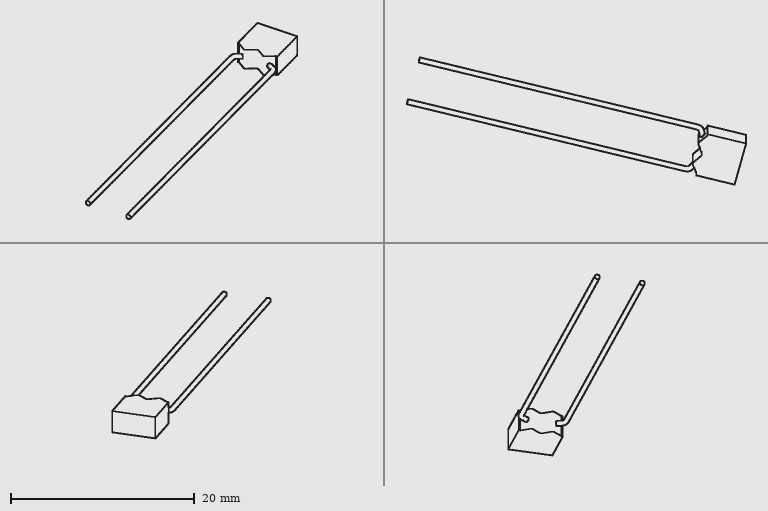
import cadquery as cq
import math

case_width = 5.0
case_thickness = 2.55
shoulder_depth = 4.35
lobe_depth = 5.05
round_height = 0.045
shoulder_inner_x = 2.32
lobe_outer_x = 1.35
lobe_inner_x = 1.05
dip_half_width = 0.15

overall_width = 5.67
overall_length = 36.83
wire_diameter = 0.6
wire_radius = wire_diameter / 2
lead_x = (overall_width - wire_diameter) / 2
bend_start_y = -5.82
bend_rise = 0.77
bend_inset = 0.22
bend_angle = 60.0
oblique_length = 0.75


def make_case():
    """Block centred on Z = 0, with its back side on Y = 0."""
    half_width = case_width / 2
    lobe_middle_x = (lobe_outer_x + lobe_inner_x) / 2
    lobe_arc_y = round_height - lobe_depth
    dip_arc_y = -shoulder_depth - round_height
    return (
        cq.Workplane("XY")
        .moveTo(-half_width, 0)
        .lineTo(-half_width, -shoulder_depth)
        .lineTo(-shoulder_inner_x, -shoulder_depth)
        .lineTo(-lobe_outer_x, lobe_arc_y)
        .threePointArc((-lobe_middle_x, -lobe_depth), (-lobe_inner_x, lobe_arc_y))
        .lineTo(-dip_half_width, dip_arc_y)
        .threePointArc((0, -shoulder_depth), (dip_half_width, dip_arc_y))
        .lineTo(lobe_inner_x, lobe_arc_y)
        .threePointArc((lobe_middle_x, -lobe_depth), (lobe_outer_x, lobe_arc_y))
        .lineTo(shoulder_inner_x, -shoulder_depth)
        .lineTo(half_width, -shoulder_depth)
        .lineTo(half_width, 0)
        .close()
        .extrude(case_thickness / 2, both=True)
    )


def make_lead(side):
    """Wire on one side of the case: side is -1 for -X and +1 for +X."""
    angle = math.radians(bend_angle)
    inward = -side * math.sin(angle)
    forward = math.cos(angle)
    bend_start = (side * lead_x, bend_start_y)
    bend_end = (side * (lead_x - bend_inset), bend_start_y + bend_rise)
    inner_end = (
        bend_end[0] + oblique_length * inward,
        bend_end[1] + oblique_length * forward,
    )
    path = (
        cq.Workplane("XY")
        .moveTo(side * lead_x, -overall_length)
        .lineTo(*bend_start)
        .spline([bend_end], tangents=[(0, 1), (inward, forward)], includeCurrent=True)
        .lineTo(*inner_end)
    )
    return (
        cq.Workplane("XZ", origin=(side * lead_x, -overall_length, 0))
        .circle(wire_radius)
        .sweep(path)
    )


leads = [make_lead(side) for side in (-1, 1)]

case = make_case()
for lead in leads:
    case = case.cut(lead)

result = cq.Compound.makeCompound([case.val(), *[lead.val() for lead in leads]])